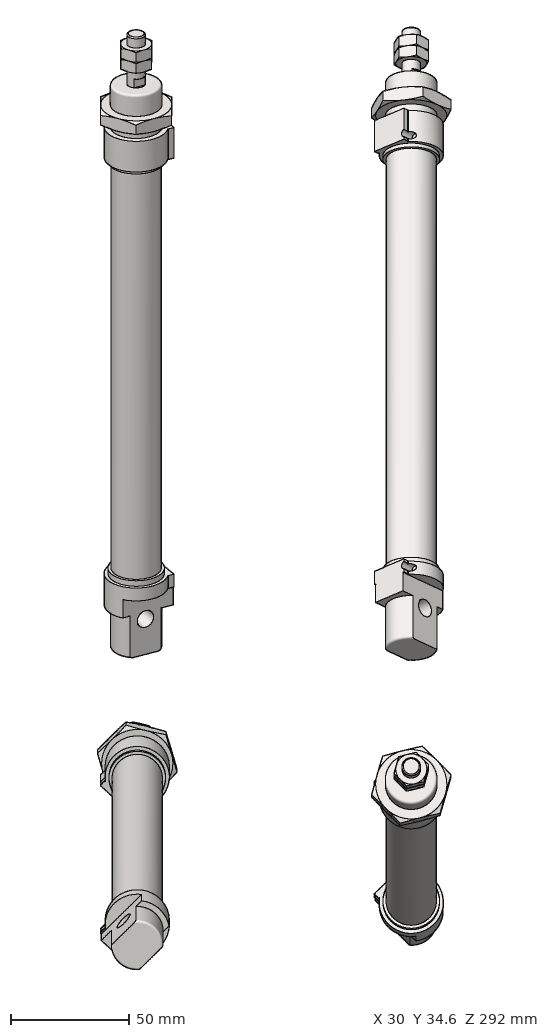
import cadquery as cq
import math


total_height = 292.0
rear_head_bottom = 20.1
lug_flat_top = 29.0
rear_head_top = 35.0
rear_collar_top = 37.7
front_collar_bottom = 231.3
front_head_bottom = 233.0
front_head_top = 247.5
neck_top = 268.0

tube_diameter = 21.3
collar_diameter = 24.0
head_diameter = 27.2
neck_diameter = 22.0
neck_fillet = 1.02
lug_diameter = 22.0
lug_fillet = 1.02
lug_thickness = 16.0
pivot_hole_diameter = 8.0
pivot_hole_height = 17.0

pad_width = 17.2
pad_back = 10.8
port_diameter = 3.5
port_offset = 9.0
port_depth = 6.5
port_inset = 3.0

rod_diameter = 8.0
rod_chamfer = 0.5
rod_bottom = front_collar_bottom
wrench_flat_width = 5.8
wrench_flat_top = 272.0

nut_chamfer_angle = 20.0
mounting_nut_width = 30.0
mounting_nut_height = 6.0
mounting_nut_bottom = 252.0
rod_nut_width = 13.0
rod_nut_height = 5.3
rod_nut_count = 2
rod_nuts_bottom = 276.5


def cylinder(diameter, bottom, top):
    """Solid cylinder on the Z axis between two heights."""
    return cq.Workplane("XY").workplane(offset=bottom).circle(diameter / 2).extrude(top - bottom)


def box(x_size, y_min, y_max, bottom, top):
    """Box centred on X = 0."""
    return (
        cq.Workplane("XY")
        .box(x_size, y_max - y_min, top - bottom, centered=(True, False, False))
        .translate((0, y_min, bottom))
    )


def port(height):
    """Cutter for a blind port that opens through the pad face at one edge of the pad."""
    return (
        cq.Workplane("XZ", origin=(-port_offset, head_diameter / 2, height))
        .circle(port_diameter / 2)
        .extrude(port_depth)
    )


def head(bottom, top, port_height):
    """Cylinder head with a flat port pad on its +Y side."""
    pad = box(pad_width, pad_back, head_diameter / 2, bottom, top)
    return cylinder(head_diameter, bottom, top).union(pad).cut(port(port_height))


def lug_side_cuts():
    """Cutters that leave the rear lug flat on its -X and +X sides."""
    around = cylinder(2 * head_diameter, 0, lug_flat_top)
    return around.cut(box(lug_thickness, -head_diameter, head_diameter, 0, lug_flat_top))


def pivot_hole():
    """Cutter for the cross hole through the lug along X."""
    return (
        cq.Workplane("YZ")
        .center(0, pivot_hole_height)
        .circle(pivot_hole_diameter / 2)
        .extrude(head_diameter, both=True)
    )


def make_housing():
    """Rear lug, both heads, tube and threaded neck in one piece, bored for the rod."""
    lug = cylinder(lug_diameter, 0, rear_head_bottom).faces("<Z").fillet(lug_fillet)
    rear_head = head(rear_head_bottom, rear_head_top, rear_head_top - port_inset)
    rear_collar = cylinder(collar_diameter, rear_head_top, rear_collar_top)
    tube = cylinder(tube_diameter, rear_collar_top, front_collar_bottom)
    front_collar = cylinder(collar_diameter, front_collar_bottom, front_head_bottom)
    front_head = head(front_head_bottom, front_head_top, front_head_bottom + port_inset)
    neck = cylinder(neck_diameter, front_head_top, neck_top).faces(">Z").fillet(neck_fillet)

    body = lug
    for section in (rear_head, rear_collar, tube, front_collar, front_head, neck):
        body = body.union(section)
    rod_bore = cylinder(rod_diameter, rod_bottom, neck_top)
    return body.cut(lug_side_cuts()).cut(pivot_hole()).cut(rod_bore)


def make_rod():
    """Piston rod with a chamfered tip and two wrench flats just above the neck."""
    rod = cylinder(rod_diameter, rod_bottom, total_height).faces(">Z").chamfer(rod_chamfer)
    flats = cylinder(2 * rod_diameter, neck_top, wrench_flat_top)
    flats = flats.cut(box(wrench_flat_width, -rod_diameter, rod_diameter, neck_top, wrench_flat_top))
    return rod.cut(flats)


def make_nut(width, height, bore, bottom):
    """Hexagon nut with corners on the Y axis and its corners chamfered at both ends."""
    flat_radius = width / 2
    corner_radius = flat_radius / math.cos(math.radians(30))
    chamfer_height = (corner_radius - flat_radius) * math.tan(math.radians(nut_chamfer_angle))
    hexagon = (
        cq.Workplane("XY")
        .polygon(6, 2 * corner_radius)
        .extrude(height)
        .rotate((0, 0, 0), (0, 0, 1), 90)
    )
    envelope = (
        cq.Workplane("XZ")
        .moveTo(0, 0)
        .lineTo(flat_radius, 0)
        .lineTo(corner_radius, chamfer_height)
        .lineTo(corner_radius, height - chamfer_height)
        .lineTo(flat_radius, height)
        .lineTo(0, height)
        .close()
        .revolve(360, (0, 0), (0, 1))
    )
    nut = hexagon.intersect(envelope).cut(cylinder(bore, 0, height))
    return nut.translate((0, 0, bottom))


housing = make_housing()
rod = make_rod()
mounting_nut = make_nut(mounting_nut_width, mounting_nut_height, neck_diameter, mounting_nut_bottom)
rod_nuts = []
for index in range(rod_nut_count):
    nut_bottom = rod_nuts_bottom + index * rod_nut_height
    rod_nuts.append(make_nut(rod_nut_width, rod_nut_height, rod_diameter, nut_bottom))

result = cq.Compound.makeCompound(
    [housing.val(), rod.val(), mounting_nut.val(), *[nut.val() for nut in rod_nuts]]
)